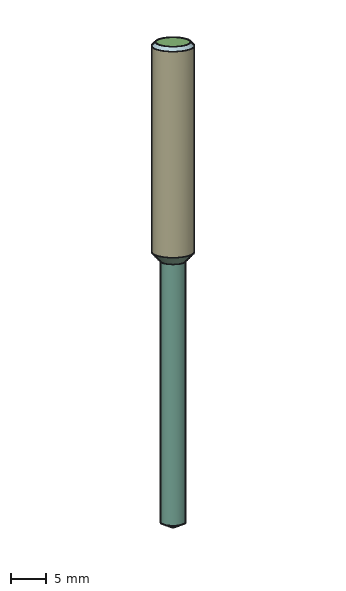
import cadquery as cq
import math

overall_length = 71.0
shank_diameter = 6.0
drill_diameter = 3.55
shank_length = 30.7
end_chamfer = 0.6
taper_height = 1.35
point_angle = 130.0

shank_radius = shank_diameter / 2
drill_radius = drill_diameter / 2
point_height = drill_radius / math.tan(math.radians(point_angle / 2))
taper_top = overall_length - shank_length
taper_bottom = taper_top - taper_height


def revolve_profile(points):
    """Turn a closed (radius, height) outline around the Z axis."""
    return cq.Workplane("XZ").polyline(points).close().revolve(360, (0, 0), (0, 1))


def make_shank():
    """Chamfered cylinder that tapers down to the drill diameter."""
    return revolve_profile([
        (0, taper_bottom),
        (drill_radius, taper_bottom),
        (shank_radius, taper_top),
        (shank_radius, overall_length - end_chamfer),
        (shank_radius - end_chamfer, overall_length),
        (0, overall_length),
    ])


def make_drill():
    """Slender cylinder with a conical point, meeting the shank at its taper."""
    return revolve_profile([
        (0, 0),
        (drill_radius, point_height),
        (drill_radius, taper_bottom),
        (0, taper_bottom),
    ])


shank = make_shank()
drill = make_drill()

result = cq.Compound.makeCompound([shank.val(), drill.val()])